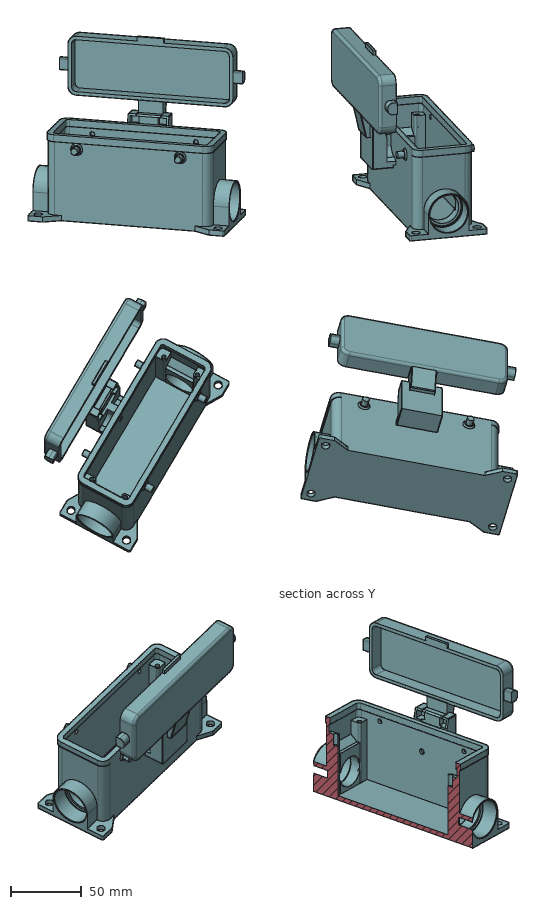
import cadquery as cq
LENGTH = 144.0
BODY_LENGTH = 121.0
BODY_FRONT = -21.6
BODY_BACK = 22.0
CORNER_RADIUS = 6.2
HOUSING_HEIGHT = 63.0
RIM_HEIGHT = 5.2
RIM_BOTTOM = HOUSING_HEIGHT - RIM_HEIGHT
RIM_LENGTH = 122.1
RIM_WIDTH = 2 * BODY_BACK

CAVITY_LENGTH = 113.2
CAVITY_WIDTH = 36.0
CAVITY_CORNER_RADIUS = 2.0
UNDERCUT = 1.0
UNDERCUT_CORNER_RADIUS = 3.0
FLOOR = 3.9

POST_SIZE = 7.0
POST_ROUND = 1.7
POST_TOP = 51.1
SCREW_X = 52.0
SCREW_Y = 13.5
SCREW_RADIUS = 1.6
SCREW_DEPTH = 8.6

LEDGE_TOP = 36.0
LEDGE_WIDTH = 2.6
LEDGE_SLOPE_TOP = 40.3

ENTRY_Z = 17.5
ENTRY_RADIUS = 15.0
SOCKET_RADIUS = 13.8
SOCKET_DEPTH = 12.4
SOCKET_STEP = 0.7
SOCKET_CHAMFER = 0.5
BORE_RADIUS = 11.4

FOOT_HALF_WIDTH = 28.5
FOOT_SHOULDER_X = 60.9
FOOT_TIP_X = 49.0
FOOT_CORNER_RADIUS = 1.2
FOOT_HOLE_X = 66.0
FOOT_HOLE_Y = 22.5
FOOT_HOLE_RADIUS = 2.9

PEG_X = 38.0
PEG_Z = 53.3
PEG_RADIUS = 2.5
PEG_END_Y = 28.1
PEG_COLLAR_RADIUS = 4.3
PEG_COLLAR_TIP_RADIUS = 3.3
PEG_COLLAR_HEIGHT = 1.2
PEG_CORE_RADIUS = 1.7
CORE_DEPTH = 2.2
HINGE_CORE_RADIUS = 2.0
HINGE_CORE_Z = 41.2

TONGUE_WIDTH = 18.0
BRACKET_HALF_WIDTH = 15.0
BRACKET_FRONT = 28.5
BRACKET_BACK = 39.3
BRACKET_BOTTOM = 36.0
BRACKET_TOP = 67.2
BRACKET_TOP_FRONT = 30.5
BRACKET_SLOPE_BOTTOM = 58.0
BRACKET_EDGE = 0.6
SHELF_FRONT = 23.9
SHELF_TOP = 38.0
BRACKET_WALL = 1.6
BRACKET_FACE = 30.5
FACE_BEVEL_BACK = 32.0
POCKET_INNER_X = 6.9
POCKET_BACK = 35.1
POCKET_BOTTOM = 59.8
POCKET_TOP = 65.7
NOTCH_DEPTH = 0.5

RIB_HALF_WIDTH = 2.9
RIB_TOP = 57.2
FLARE_TOP = 49.0
FLARE_MIDDLE = (5.3, 44.8)
FLARE_END = (11.1, 42.8)
RIB_FOOT_TOP = 40.9

LID_FRONT = 35.3
LID_BACK = 47.8
LID_BOTTOM = 76.0
LID_TOP = 119.4
LID_WALL = 2.6
LID_FLOOR = 2.7
LID_BACK_ROUND = 2.2
LID_CAVITY_RADIUS = CORNER_RADIUS - LID_WALL

TAB_WIDTH = 19.3
TAB_THICKNESS = 2.0
TAB_TOP = 122.5

EAR_SPAN = 134.2
EAR_FRONT = 36.5
EAR_BACK = 43.5
EAR_HEIGHT = 8.6
EAR_BACK_ROUND = 3.7
EAR_FRONT_ROUND = 0.6

TONGUE_FRONT = 36.0
TONGUE_BOTTOM = 58.2
TONGUE_TIP_BACK = 42.3
TONGUE_ROOT_BACK = 47.0
TONGUE_EDGE = 0.6
TONGUE_LIP = 0.5


def block(x_range, y_range, z_range):
    """Box between two limits along each axis."""
    (x0, x1), (y0, y1), (z0, z1) = x_range, y_range, z_range
    return cq.Workplane("XY").box(x1 - x0, y1 - y0, z1 - z0, centered=False).translate((x0, y0, z0))


def upright_prism(length, y_range, z_range, radius):
    """Box centred on X with rounded upright edges."""
    return block((-length / 2, length / 2), y_range, z_range).edges("|Z").fillet(radius)


def mirrored_ends(shape):
    """A shape at the +X end together with its copy at the -X end."""
    return shape.union(shape.mirror("YZ"))


def shell():
    body = upright_prism(BODY_LENGTH, (BODY_FRONT, BODY_BACK), (0, HOUSING_HEIGHT), CORNER_RADIUS)
    half_rim = RIM_WIDTH / 2
    rim = upright_prism(RIM_LENGTH, (-half_rim, half_rim), (RIM_BOTTOM, HOUSING_HEIGHT), CORNER_RADIUS)
    return body.union(rim)


def cavity():
    half_width = CAVITY_WIDTH / 2
    undercut_half = half_width + UNDERCUT
    mouth = upright_prism(
        CAVITY_LENGTH, (-half_width, half_width), (RIM_BOTTOM, HOUSING_HEIGHT), CAVITY_CORNER_RADIUS
    )
    undercut = upright_prism(
        CAVITY_LENGTH + 2 * UNDERCUT,
        (-undercut_half, undercut_half),
        (FLOOR, RIM_BOTTOM),
        UNDERCUT_CORNER_RADIUS,
    )
    return mouth.union(undercut)


def end_fittings():
    """Corner posts and the sloped ledge between them, at the +X end of the cavity."""
    wall_x = CAVITY_LENGTH / 2
    inner_x = wall_x - POST_SIZE
    outer_x = wall_x + UNDERCUT
    outer_y = CAVITY_WIDTH / 2 + UNDERCUT
    inner_y = CAVITY_WIDTH / 2 - POST_SIZE
    post = block((inner_x, outer_x), (inner_y, outer_y), (0, POST_TOP))
    post = post.edges("|Z and <X and <Y").fillet(POST_ROUND)
    ledge = (
        cq.Workplane("XZ", origin=(0, inner_y, 0))
        .polyline([
            (inner_x, 0),
            (inner_x, LEDGE_TOP),
            (inner_x + LEDGE_WIDTH, LEDGE_TOP),
            (outer_x, LEDGE_SLOPE_TOP),
            (outer_x, 0),
        ])
        .close()
        .extrude(2 * inner_y)
    )
    return ledge.union(post).union(post.mirror("XZ"))


def screw_holes():
    return (
        cq.Workplane("XY", origin=(0, 0, POST_TOP - SCREW_DEPTH))
        .rect(2 * SCREW_X, 2 * SCREW_Y, forConstruction=True)
        .vertices()
        .circle(SCREW_RADIUS)
        .extrude(SCREW_DEPTH)
    )


def entry_boss():
    """Round-topped boss around the +X cable entry."""
    length = LENGTH / 2 - CAVITY_LENGTH / 2 - UNDERCUT
    start = LENGTH / 2 - length
    base = block((start, LENGTH / 2), (-ENTRY_RADIUS, ENTRY_RADIUS), (0, ENTRY_Z))
    barrel = cq.Workplane("YZ", origin=(start, 0, ENTRY_Z)).circle(ENTRY_RADIUS).extrude(length)
    return barrel.union(base)


def entry_hole():
    """Stepped bore of the +X cable entry, open to the cavity."""
    end_x = LENGTH / 2
    inner_x = CAVITY_LENGTH / 2 - POST_SIZE
    socket_x = end_x - SOCKET_DEPTH
    step_x = socket_x - 2 * SOCKET_STEP
    step_radius = SOCKET_RADIUS - SOCKET_STEP
    profile = [
        (inner_x, 0),
        (inner_x, BORE_RADIUS),
        (step_x, BORE_RADIUS),
        (step_x, step_radius),
        (socket_x, step_radius),
        (socket_x, SOCKET_RADIUS),
        (end_x - SOCKET_CHAMFER, SOCKET_RADIUS),
        (end_x, SOCKET_RADIUS + SOCKET_CHAMFER),
        (end_x, 0),
    ]
    hole = cq.Workplane("XY").polyline(profile).close().revolve(360, (0, 0, 0), (1, 0, 0))
    return hole.translate((0, 0, ENTRY_Z))


def feet():
    """Pair of drilled mounting feet at the +X end."""
    end_x = LENGTH / 2
    root_y = -BODY_FRONT
    plate = (
        cq.Workplane("XY")
        .polyline([
            (FOOT_TIP_X, -root_y),
            (FOOT_SHOULDER_X, -FOOT_HALF_WIDTH),
            (end_x, -FOOT_HALF_WIDTH),
            (end_x, FOOT_HALF_WIDTH),
            (FOOT_SHOULDER_X, FOOT_HALF_WIDTH),
            (FOOT_TIP_X, root_y),
        ])
        .close()
        .extrude(FLOOR)
        .edges("|Z and >X")
        .fillet(FOOT_CORNER_RADIUS)
    )
    holes = (
        cq.Workplane("XY")
        .pushPoints([(FOOT_HOLE_X, -FOOT_HOLE_Y), (FOOT_HOLE_X, FOOT_HOLE_Y)])
        .circle(FOOT_HOLE_RADIUS)
        .extrude(FLOOR)
    )
    return plate.cut(holes)


def peg(x, side, wall_y):
    """Locking peg with a conical collar; side is +1 at the back and -1 at the front."""
    peg_length = PEG_END_Y - wall_y
    profile = [
        (0, 0),
        (PEG_COLLAR_RADIUS, 0),
        (PEG_COLLAR_TIP_RADIUS, PEG_COLLAR_HEIGHT),
        (PEG_RADIUS, PEG_COLLAR_HEIGHT),
        (PEG_RADIUS, peg_length),
        (0, peg_length),
    ]
    turned = cq.Workplane("XY").polyline(profile).close().revolve(360, (0, 0, 0), (0, 1, 0))
    if side < 0:
        turned = turned.mirror("XZ")
    return turned.translate((x, side * wall_y, PEG_Z))


def wall_core(x, z, radius, side):
    """Blind hole that runs from the cavity into a long wall."""
    depth = CAVITY_WIDTH / 2 + UNDERCUT + CORE_DEPTH
    hole = cq.Workplane("XZ").circle(radius).extrude(-side * depth)
    return hole.translate((x, 0, z))


def hinge_rib():
    """Inverted-T rib between the back wall and the bracket."""
    foot_x = BRACKET_HALF_WIDTH
    middle_x, middle_z = FLARE_MIDDLE
    end_x, end_z = FLARE_END
    return (
        cq.Workplane("XZ", origin=(0, BRACKET_FRONT, 0))
        .moveTo(-foot_x, SHELF_TOP)
        .lineTo(-foot_x, RIB_FOOT_TOP)
        .lineTo(-end_x, end_z)
        .threePointArc((-middle_x, middle_z), (-RIB_HALF_WIDTH, FLARE_TOP))
        .lineTo(-RIB_HALF_WIDTH, RIB_TOP)
        .lineTo(RIB_HALF_WIDTH, RIB_TOP)
        .lineTo(RIB_HALF_WIDTH, FLARE_TOP)
        .threePointArc((middle_x, middle_z), (end_x, end_z))
        .lineTo(foot_x, RIB_FOOT_TOP)
        .lineTo(foot_x, SHELF_TOP)
        .close()
        .extrude(BRACKET_FRONT - BODY_BACK)
    )


def hinge_bracket():
    half = BRACKET_HALF_WIDTH
    bracket = (
        cq.Workplane("YZ", origin=(-half, 0, 0))
        .polyline([
            (SHELF_FRONT, BRACKET_BOTTOM),
            (BRACKET_BACK, BRACKET_BOTTOM),
            (BRACKET_BACK, BRACKET_TOP),
            (BRACKET_TOP_FRONT, BRACKET_TOP),
            (BRACKET_FRONT, BRACKET_SLOPE_BOTTOM),
            (BRACKET_FRONT, SHELF_TOP),
            (SHELF_FRONT, SHELF_TOP),
        ])
        .close()
        .extrude(2 * half)
        .faces(">X or <X")
        .edges(">Y or >Z or <Z")
        .chamfer(BRACKET_EDGE)
    )
    inner_half = half - BRACKET_WALL
    slot_half = TONGUE_WIDTH / 2
    notch_bottom = BRACKET_TOP - NOTCH_DEPTH
    face_recess = (
        cq.Workplane("YZ", origin=(-slot_half, 0, 0))
        .polyline([
            (BRACKET_FRONT, RIB_TOP),
            (BRACKET_FACE, RIB_TOP),
            (BRACKET_FACE, POCKET_TOP),
            (FACE_BEVEL_BACK, notch_bottom),
            (FACE_BEVEL_BACK, BRACKET_TOP),
            (BRACKET_FRONT, BRACKET_TOP),
        ])
        .close()
        .extrude(2 * slot_half)
    )
    pocket = block((POCKET_INNER_X, inner_half), (BRACKET_FRONT, POCKET_BACK), (POCKET_BOTTOM, POCKET_TOP))
    notch = block((-slot_half, slot_half), (BRACKET_FRONT, TONGUE_FRONT), (notch_bottom, BRACKET_TOP))
    slot = block((-slot_half, slot_half), (TONGUE_FRONT, BRACKET_BACK), (TONGUE_BOTTOM, BRACKET_TOP))
    return bracket.cut(face_recess).cut(mirrored_ends(pocket)).cut(notch).cut(slot)


def make_housing():
    housing = shell().union(mirrored_ends(feet())).union(mirrored_ends(entry_boss()))
    for x in (-PEG_X, PEG_X):
        housing = housing.union(peg(x, 1, BODY_BACK)).union(peg(x, -1, -BODY_FRONT))
    housing = housing.union(hinge_rib()).union(hinge_bracket())
    housing = housing.cut(cavity()).union(mirrored_ends(end_fittings()))
    housing = housing.cut(screw_holes()).cut(mirrored_ends(entry_hole()))
    for x in (-PEG_X, PEG_X):
        for side in (-1, 1):
            housing = housing.cut(wall_core(x, PEG_Z, PEG_CORE_RADIUS, side))
    return housing.cut(wall_core(0, HINGE_CORE_Z, HINGE_CORE_RADIUS, 1))


def lid_tray():
    half = BODY_LENGTH / 2
    tray = (
        block((-half, half), (LID_FRONT, LID_BACK), (LID_BOTTOM, LID_TOP))
        .edges("|Y")
        .fillet(CORNER_RADIUS)
        .faces(">Y")
        .edges()
        .fillet(LID_BACK_ROUND)
    )
    inner_half = half - LID_WALL
    hollow = (
        block(
            (-inner_half, inner_half),
            (LID_FRONT, LID_BACK - LID_FLOOR),
            (LID_BOTTOM + LID_WALL, LID_TOP - LID_WALL),
        )
        .edges("|Y")
        .fillet(LID_CAVITY_RADIUS)
    )
    return tray.cut(hollow)


def lid_ear():
    """Rounded lug on the +X end of the lid."""
    middle_z = (LID_BOTTOM + LID_TOP) / 2
    return (
        block(
            (BODY_LENGTH / 2 - LID_WALL, EAR_SPAN / 2),
            (EAR_FRONT, EAR_BACK),
            (middle_z - EAR_HEIGHT / 2, middle_z + EAR_HEIGHT / 2),
        )
        .edges("|X and >Y")
        .fillet(EAR_BACK_ROUND)
        .edges("|X and <Y")
        .fillet(EAR_FRONT_ROUND)
    )


def lid_tongue():
    """Tapered hinge tongue that hangs below the lid and fills the bracket slot."""
    half = TONGUE_WIDTH / 2
    root_z = LID_BOTTOM + LID_WALL
    inside_bracket = block((-half, half), (TONGUE_FRONT, BRACKET_BACK), (TONGUE_BOTTOM, root_z))
    behind_bracket = (
        cq.Workplane("YZ", origin=(-half, 0, 0))
        .polyline([
            (BRACKET_BACK, TONGUE_BOTTOM),
            (TONGUE_TIP_BACK, TONGUE_BOTTOM),
            (TONGUE_ROOT_BACK, LID_BOTTOM + LID_BACK_ROUND),
            (BRACKET_BACK, LID_BOTTOM + LID_BACK_ROUND),
        ])
        .close()
        .extrude(2 * half)
        .faces(">Y")
        .edges("not >Z")
        .chamfer(TONGUE_EDGE)
    )
    lip_half = TAB_WIDTH / 2
    lip_y = (TONGUE_FRONT, LID_BACK - LID_FLOOR)
    lip = block((-lip_half, lip_half), lip_y, (LID_BOTTOM - TONGUE_LIP, LID_BOTTOM))
    return inside_bracket.union(behind_bracket).union(lip)


def make_lid():
    tab_half = TAB_WIDTH / 2
    tab = block((-tab_half, tab_half), (LID_FRONT, LID_FRONT + TAB_THICKNESS), (LID_TOP - LID_WALL, TAB_TOP))
    lid = lid_tray().union(tab).union(mirrored_ends(lid_ear()))
    return lid.union(lid_tongue())


housing = make_housing()
lid = make_lid()
result = cq.Compound.makeCompound([housing.val(), lid.val()])